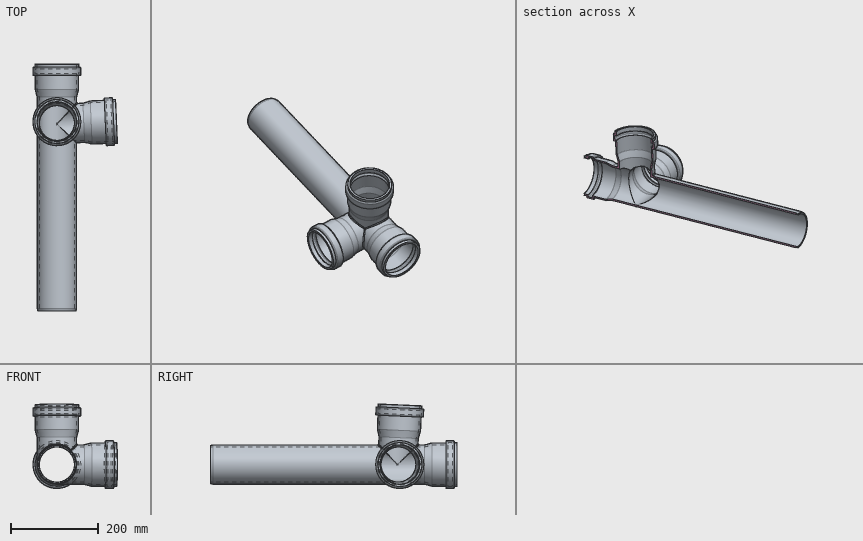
import cadquery as cq
import math

total_length = 562.0
socket_reach = 136.0
branch_tilt = 2.5

pipe_diameter = 90.0
bore_diameter = 80.0
spigot_chamfer_length = 5.5
spigot_tip_diameter = 86.5

bevel_half_width = 1.5

body_diameter = 99.0
ring_diameter = 109.0
lip_diameter = 100.0
lip_length = 7.0
ring_length = 19.0
ring_rounding = 2.0
body_length = 32.0
taper_length = 17.0

socket_bore_diameter = 90.0
seal_groove_diameter = 100.0
groove_wall = 4.5

ring_front = socket_reach - lip_length
ring_back = ring_front - ring_length
body_back = ring_back - body_length
taper_back = body_back - taper_length
groove_front = ring_front - groove_wall
groove_back = ring_back + groove_wall


def revolve_profile(stations):
    """Turn (diameter, height) stations about Z into a solid."""
    outline = [(diameter / 2, height) for diameter, height in stations]
    points = [(0, stations[0][1])] + outline + [(0, stations[-1][1])]
    return cq.Workplane("XZ").polyline(points).close().revolve(360, (0, 0), (0, 1))


def rounded_disc(diameter, bottom, top):
    """Disc on the Z axis with both rims rounded."""
    disc = cq.Workplane("XY", origin=(0, 0, bottom)).circle(diameter / 2).extrude(top - bottom)
    return disc.edges("%CIRCLE").fillet(ring_rounding)


def socket_outside(start_stations):
    return revolve_profile(start_stations + [
        (pipe_diameter, taper_back),
        (body_diameter, body_back),
        (body_diameter, ring_front),
        (lip_diameter, ring_front),
        (lip_diameter, socket_reach),
    ]).union(rounded_disc(ring_diameter, ring_back, ring_front))


def socket_inside(start):
    return revolve_profile([
        (bore_diameter, start),
        (bore_diameter, taper_back),
        (socket_bore_diameter, body_back),
        (socket_bore_diameter, socket_reach),
    ]).union(rounded_disc(seal_groove_diameter, groove_back, groove_front))


def along_main(shape):
    """Turn a shape from +Z to +Y."""
    return shape.rotate((0, 0, 0), (1, 0, 0), -90)


def along_top_branch(shape):
    """Lean a shape from +Z towards +Y."""
    return shape.rotate((0, 0, 0), (1, 0, 0), -branch_tilt)


def along_side_branch(shape):
    """Turn a shape from +Z to +X, then lean it towards +Y."""
    return shape.rotate((0, 0, 0), (0, 1, 0), 90).rotate((0, 0, 0), (0, 0, 1), branch_tilt)


def corner_bevel(first_axis, second_axis):
    """Half-elliptical slab filling the corner between two equal pipes with the given axes.

    It lies in the plane of their mitre and fades out at the tips of the joint.
    """
    half_angle = first_axis.getAngle(second_axis) / 2
    corner_reach = pipe_diameter / 2 / math.sin(half_angle) + bevel_half_width / math.tan(half_angle)
    mitre_plane = cq.Plane(
        origin=(0, 0, 0),
        xDir=first_axis + second_axis,
        normal=second_axis - first_axis,
    )
    return (
        cq.Workplane(mitre_plane)
        .ellipseArc(corner_reach, pipe_diameter / 2, -90, 90, startAtCurrent=False)
        .close()
        .extrude(bevel_half_width, both=True)
    )


spigot_end = socket_reach - total_length
main_outside = along_main(socket_outside([
    (spigot_tip_diameter, spigot_end),
    (pipe_diameter, spigot_end + spigot_chamfer_length),
]))
main_inside = along_main(socket_inside(spigot_end))

branch_outside = socket_outside([(pipe_diameter, 0)])
branch_inside = socket_inside(0)

outside = main_outside
inside = main_inside
for place in (along_top_branch, along_side_branch):
    outside = outside.union(place(branch_outside))
    inside = inside.union(place(branch_inside))

tilt = math.radians(branch_tilt)
main_axis = cq.Vector(0, 1, 0)
top_axis = cq.Vector(0, math.sin(tilt), math.cos(tilt))
side_axis = cq.Vector(math.cos(tilt), math.sin(tilt), 0)
outside = outside.union(corner_bevel(top_axis, side_axis))
for branch_axis in (top_axis, side_axis):
    for pipe_axis in (main_axis, -main_axis):
        outside = outside.union(corner_bevel(branch_axis, pipe_axis))

result = outside.cut(inside)